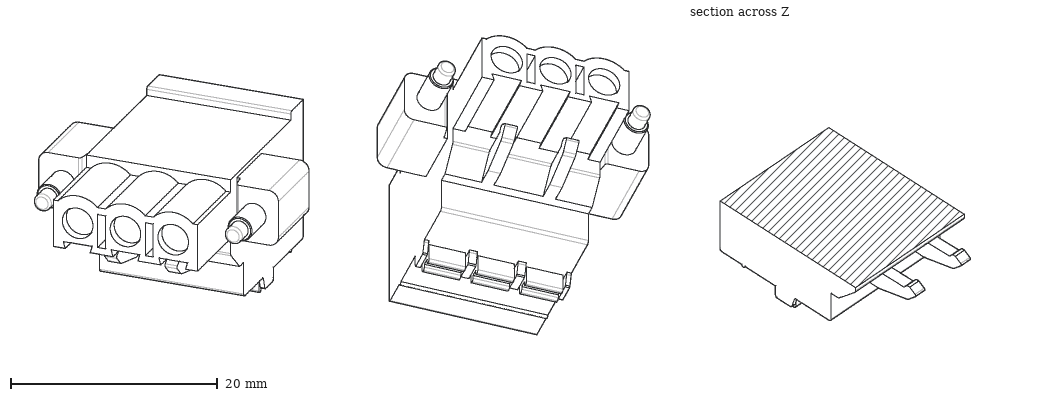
import cadquery as cq
import math


POLE_COUNT = 3
PITCH = 5.0
POLE_XS = [(i - (POLE_COUNT - 1) / 2) * PITCH for i in range(POLE_COUNT)]
GAP_XS = [x + PITCH / 2 for x in POLE_XS[:-1]]

END_ALLOWANCE = 0.1
BODY_WIDTH = POLE_COUNT * PITCH + END_ALLOWANCE
BODY_DEPTH = 18.3
BODY_TOP = 13.8
LIP_TOP = 14.7
LIP_DEPTH = 3.15
LIP_ROUND = 0.25
LOWER_FRONT_Y = 3.3
LEDGE_Z = 3.65
BEVEL_BACK_Y = 2.28
BEVEL_TOP_Z = 5.8
BEVEL_ROUND = 0.4
BOTTOM_ROUND = 0.3
BEAD_Y = BODY_DEPTH - LIP_DEPTH
BEAD_RADIUS = 0.22

AXIS_Z = 10.46
PLUG_LENGTH = 8.3
PLUG_EMBED = 0.5
PLUG_RADIUS = 2.9
PLUG_BOTTOM = AXIS_Z - PLUG_RADIUS
SHOULDER_Z = 12.49
SOCKET_DIAMETER = 3.2
SOCKET_DEPTH = 1.0
SLOT_WIDTH = 0.82
SLOT_TOP = 11.75
KEYWAY_DEPTH = 0.7
KEYWAY_TOP = PLUG_BOTTOM + KEYWAY_DEPTH
KEYWAY_TOP_WIDTH = 3.0
KEYWAY_MOUTH_WIDTH = 2.6

FLANGE_WIDTH = 5.0
FLANGE_DEPTH = 7.75
FLANGE_HEIGHT = 2 * PLUG_RADIUS
FLANGE_ROUND = 1.0
RELIEF_DEPTH = 1.6
RELIEF_BACK_WIDTH = 0.33
RELIEF_FRONT_WIDTH = 0.6
RELIEF_ROUND = 0.25

SCREW_X = 10.0
SHANK_DIAMETER = 2.5
SHANK_LENGTH = 3.6
SHANK_CHAMFER = 0.1
TIP_DIAMETER = 1.77
TIP_END = 5.27
TIP_ROUND = 0.24

LATCH_X = 3.16
LATCH_WIDTH = 1.28
LATCH_HOOK_BASE = (-2.88, 5.87)
LATCH_HOOK_BACK = (-3.3, 6.32)
LATCH_HOOK_CREST = (-3.65, 6.32)
LATCH_NOSE = (-4.57, 5.71)
LATCH_NOSE_ROUND = 0.19
LATCH_KNEE = (-3.42, 4.58)
LATCH_KNEE_ROUND = 0.75
LATCH_HEEL_Y = 0.41

RIB_WIDTH = SLOT_WIDTH
END_RIB_WIDTH = 0.47
RIB_BACK_Y = 10.84
RIB_ROOT_FRONT_Y = 8.16
RIB_KINK_FRONT_Y = 8.27
RIB_KINK_DROP = 0.22
RIB_FRONT_Y = 8.72
RIB_EDGE_CHAMFER = 0.12
RIB_HEIGHT = 1.41
RIB_CHAMFER = 0.15
RIB_CHAMFER_HEIGHT = 0.3
FOOT_WIDTH = 3.75
FOOT_HEIGHT = 2.0
FOOT_THICKNESS = 0.6
FOOT_ROUND = 0.24
FOOT_BACK_Y = RIB_BACK_Y - RIB_CHAMFER


def extrude_along_x(points, width, center_x):
    """Extrude a (Y, Z) outline symmetrically about center_x."""
    profile = cq.Workplane("YZ", origin=(center_x - width / 2, 0, 0)).polyline(points).close()
    return profile.extrude(width)


def box(x_range, y_range, z_range):
    """Box between pairs of limits on each axis."""
    ranges = (x_range, y_range, z_range)
    lengths = [high - low for low, high in ranges]
    corner = tuple(low for low, high in ranges)
    return cq.Workplane("XY").box(*lengths, centered=False).translate(corner)


def edge_at(y, z, center_x=0):
    """Selector for the edge along X that passes through (y, z) and is centred on center_x."""
    return cq.selectors.NearestToPointSelector((center_x, y, z))


def make_body():
    lip_front_y = BODY_DEPTH - LIP_DEPTH
    outline = [
        (BODY_DEPTH, 0),
        (BODY_DEPTH, LIP_TOP),
        (lip_front_y, LIP_TOP),
        (lip_front_y, BODY_TOP),
        (0, BODY_TOP),
        (0, BEVEL_TOP_Z),
        (BEVEL_BACK_Y, LEDGE_Z),
        (LOWER_FRONT_Y, LEDGE_Z),
        (LOWER_FRONT_Y, 0),
    ]
    body = extrude_along_x(outline, BODY_WIDTH, 0)
    body = body.edges(edge_at(lip_front_y, LIP_TOP)).fillet(LIP_ROUND)
    body = body.edges(edge_at(0, BEVEL_TOP_Z)).fillet(BEVEL_ROUND)
    body = body.edges(edge_at(BODY_DEPTH, 0)).fillet(BOTTOM_ROUND)
    body = body.edges(edge_at(LOWER_FRONT_Y, 0)).fillet(BOTTOM_ROUND)
    bead_start = cq.Workplane("YZ", origin=(-BODY_WIDTH / 2, BEAD_Y, 0))
    bead = bead_start.circle(BEAD_RADIUS).extrude(BODY_WIDTH)
    return body.union(bead)


def make_plug():
    half_width = BODY_WIDTH / 2
    crest_half_width = math.sqrt(PLUG_RADIUS**2 - (SHOULDER_Z - AXIS_Z) ** 2)
    outline = cq.Workplane("XZ", origin=(0, PLUG_EMBED, 0)).moveTo(-half_width, PLUG_BOTTOM)
    outline = outline.lineTo(-half_width, SHOULDER_Z)
    for x in POLE_XS:
        outline = outline.lineTo(x - crest_half_width, SHOULDER_Z)
        outline = outline.threePointArc((x, AXIS_Z + PLUG_RADIUS), (x + crest_half_width, SHOULDER_Z))
    outline = outline.lineTo(half_width, SHOULDER_Z).lineTo(half_width, PLUG_BOTTOM).close()
    plug = outline.extrude(PLUG_LENGTH + PLUG_EMBED)

    for x in POLE_XS:
        socket = cq.Workplane("XZ", origin=(x, SOCKET_DEPTH - PLUG_LENGTH, AXIS_Z))
        plug = plug.cut(socket.circle(SOCKET_DIAMETER / 2).extrude(SOCKET_DEPTH))
        keyway = (
            cq.Workplane("XZ", origin=(x, 0, PLUG_BOTTOM))
            .moveTo(-KEYWAY_MOUTH_WIDTH / 2, 0)
            .lineTo(KEYWAY_MOUTH_WIDTH / 2, 0)
            .lineTo(KEYWAY_TOP_WIDTH / 2, KEYWAY_DEPTH)
            .lineTo(-KEYWAY_TOP_WIDTH / 2, KEYWAY_DEPTH)
            .close()
            .extrude(PLUG_LENGTH)
        )
        plug = plug.cut(keyway)

    for x in GAP_XS:
        slot_x = (x - SLOT_WIDTH / 2, x + SLOT_WIDTH / 2)
        plug = plug.cut(box(slot_x, (-PLUG_LENGTH, 0), (KEYWAY_TOP, SLOT_TOP)))
    return plug


def make_right_flange():
    inner_x = BODY_WIDTH / 2
    outline = [
        (inner_x, FLANGE_DEPTH),
        (inner_x + FLANGE_WIDTH, FLANGE_DEPTH),
        (inner_x + FLANGE_WIDTH, 0),
        (inner_x + RELIEF_FRONT_WIDTH, 0),
        (inner_x + RELIEF_BACK_WIDTH, RELIEF_DEPTH),
        (inner_x, RELIEF_DEPTH),
    ]
    block = cq.Workplane("XY", origin=(0, 0, PLUG_BOTTOM)).polyline(outline).close().extrude(FLANGE_HEIGHT)
    block = block.edges("|Y and >X").fillet(FLANGE_ROUND)
    relief_corner = cq.selectors.NearestToPointSelector((inner_x + RELIEF_FRONT_WIDTH, 0, AXIS_Z))
    block = block.edges(relief_corner).fillet(RELIEF_ROUND)

    screw_axis = cq.Workplane("XZ", origin=(SCREW_X, 0, AXIS_Z))
    shank = screw_axis.circle(SHANK_DIAMETER / 2).extrude(SHANK_LENGTH)
    shank = shank.faces("<Y").edges().chamfer(SHANK_CHAMFER)
    tip = screw_axis.circle(TIP_DIAMETER / 2).extrude(TIP_END)
    tip = tip.faces("<Y").edges().fillet(TIP_ROUND)
    return block.union(shank).union(tip)


def make_latch(center_x):
    """Sprung arm with a hooked nose, growing out of the body's bevel."""
    outline = [
        (BEVEL_BACK_Y, LEDGE_Z),
        (BEVEL_BACK_Y, BEVEL_TOP_Z),
        (0, BEVEL_TOP_Z),
        LATCH_HOOK_BASE,
        LATCH_HOOK_BACK,
        LATCH_HOOK_CREST,
        LATCH_NOSE,
        LATCH_KNEE,
        (LATCH_HEEL_Y, LEDGE_Z),
    ]
    latch = extrude_along_x(outline, LATCH_WIDTH, center_x)
    latch = latch.edges(edge_at(*LATCH_NOSE, center_x)).fillet(LATCH_NOSE_ROUND)
    return latch.edges(edge_at(*LATCH_KNEE, center_x)).fillet(LATCH_KNEE_ROUND)


def make_rib(center_x, width):
    outline = [
        (RIB_BACK_Y, 0),
        (RIB_BACK_Y, RIB_CHAMFER_HEIGHT - RIB_HEIGHT),
        (RIB_BACK_Y - RIB_CHAMFER, -RIB_HEIGHT),
        (RIB_FRONT_Y, -RIB_HEIGHT),
        (RIB_FRONT_Y - RIB_EDGE_CHAMFER, RIB_EDGE_CHAMFER - RIB_HEIGHT),
        (RIB_KINK_FRONT_Y, -RIB_KINK_DROP),
        (RIB_ROOT_FRONT_Y, 0),
    ]
    return extrude_along_x(outline, width, center_x)


def make_feet(center_x):
    """Block under one pole that carries a front and a back foot."""
    x_range = (center_x - FOOT_WIDTH / 2, center_x + FOOT_WIDTH / 2)
    feet = box(x_range, (RIB_FRONT_Y, FOOT_BACK_Y), (-RIB_HEIGHT, 0))
    for front_y in (RIB_FRONT_Y, FOOT_BACK_Y - FOOT_THICKNESS):
        foot = box(x_range, (front_y, front_y + FOOT_THICKNESS), (-FOOT_HEIGHT, 0))
        feet = feet.union(foot.faces("<Z").edges("|X").fillet(FOOT_ROUND))
    return feet


result = make_body().union(make_plug())

right_flange = make_right_flange()
result = result.union(right_flange).union(right_flange.mirror("YZ"))

for side in (-1, 1):
    result = result.union(make_latch(side * LATCH_X))
    end_rib_x = side * (BODY_WIDTH - END_RIB_WIDTH) / 2
    result = result.union(make_rib(end_rib_x, END_RIB_WIDTH))

for gap_x in GAP_XS:
    result = result.union(make_rib(gap_x, RIB_WIDTH))

for pole_x in POLE_XS:
    result = result.union(make_feet(pole_x))